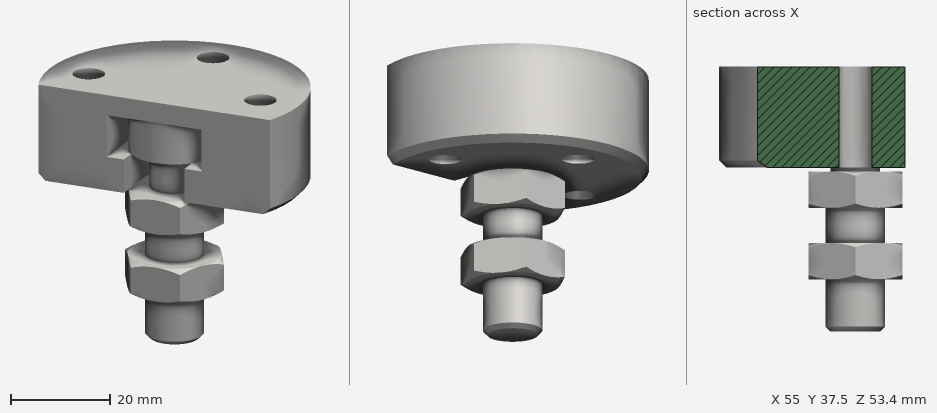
import cadquery as cq
import math


housing_diameter = 55.0
housing_height = 20.4
flat_offset = 10.0
housing_chamfer = 1.5
mount_hole_diameter = 6.6
mount_hole_radius = 19.0
mount_hole_angles = (0, 90, 180)

head_slot_width = 21.0
head_slot_top = -4.3
head_slot_bottom = -13.25
neck_slot_width = 13.4

head_diameter = 18.6
head_clearance = 0.2
neck_diameter = 10.0
thread_diameter = 12.0
tip_chamfer = 0.95
stud_bottom = -53.4

hex_across_flats = 18.9
hex_thickness = 7.3
hex_chamfer_angle = 30.0
stud_hex_top = -21.2
locknut_top = -35.6

stud_hex_bottom = stud_hex_top - hex_thickness


def cylinder(diameter, bottom, top):
    """Cylinder on the Z axis between two heights."""
    return cq.Workplane("XY").workplane(offset=bottom).circle(diameter / 2).extrude(top - bottom)


def slot(width, bottom, top):
    """Slot open at the front flat, with a round end centred on the axis."""
    channel = (
        cq.Workplane("XY")
        .workplane(offset=bottom)
        .center(0, -flat_offset / 2)
        .rect(width, flat_offset)
        .extrude(top - bottom)
    )
    return channel.union(cylinder(width, bottom, top))


def make_housing():
    """Round block with a front flat, a T-slot and three mounting holes."""
    block = cylinder(housing_diameter, -housing_height, 0).faces("<Z").edges().chamfer(housing_chamfer)
    kept_depth = housing_diameter / 2 + flat_offset
    kept_side = (
        cq.Workplane("XY")
        .workplane(offset=-housing_height)
        .center(0, kept_depth / 2 - flat_offset)
        .rect(housing_diameter, kept_depth)
        .extrude(housing_height)
    )
    block = block.intersect(kept_side)
    block = block.cut(slot(head_slot_width, head_slot_bottom, head_slot_top))
    block = block.cut(slot(neck_slot_width, -housing_height, head_slot_bottom))
    for angle in mount_hole_angles:
        x = mount_hole_radius * math.cos(math.radians(angle))
        y = mount_hole_radius * math.sin(math.radians(angle))
        hole = cylinder(mount_hole_diameter, -housing_height, 0).translate((x, y, 0))
        block = block.cut(hole)
    return block


def make_hexagon(top):
    """Hexagonal prism with corners along X, its corners bevelled at both ends."""
    bottom = top - hex_thickness
    flat_radius = hex_across_flats / 2
    corner_radius = flat_radius / math.cos(math.pi / 6)
    corner_drop = (corner_radius - flat_radius) * math.tan(math.radians(hex_chamfer_angle))
    prism = (
        cq.Workplane("XY")
        .workplane(offset=bottom)
        .polygon(6, 2 * corner_radius)
        .extrude(hex_thickness)
    )
    envelope = (
        cq.Workplane("XZ")
        .moveTo(0, bottom)
        .lineTo(flat_radius, bottom)
        .lineTo(corner_radius, bottom + corner_drop)
        .lineTo(corner_radius, top - corner_drop)
        .lineTo(flat_radius, top)
        .lineTo(0, top)
        .close()
        .revolve(360, (0, 0, 0), (0, 1, 0))
    )
    return prism.intersect(envelope)


def make_stud():
    """Stud with a round head, a neck, a fixed hexagon and a chamfered shank."""
    head = cylinder(head_diameter, head_slot_bottom, head_slot_top - head_clearance)
    neck = cylinder(neck_diameter, stud_hex_top, head_slot_bottom)
    shank = cylinder(thread_diameter, stud_bottom, stud_hex_bottom).faces("<Z").chamfer(tip_chamfer)
    return head.union(neck).union(make_hexagon(stud_hex_top)).union(shank)


def make_locknut():
    """Hexagonal nut bored to fit the shank."""
    bore = cylinder(thread_diameter, locknut_top - hex_thickness, locknut_top)
    return make_hexagon(locknut_top).cut(bore)


housing = make_housing()
stud = make_stud()
locknut = make_locknut()

result = cq.Compound.makeCompound([housing.solids().val(), stud.solids().val(), locknut.solids().val()])